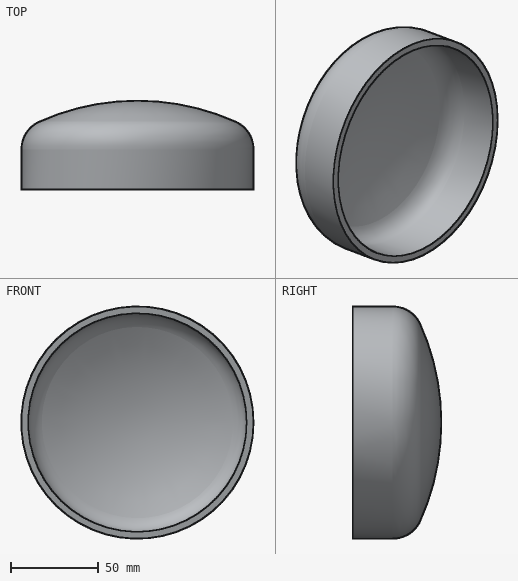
import cadquery as cq
import math

outer_diameter = 133.0
wall = 4.0
skirt_length = 23.0

knuckle_ratio = 0.1
inner_crown_radius = outer_diameter
inner_knuckle_radius = knuckle_ratio * outer_diameter

outer_radius = outer_diameter / 2
inner_radius = outer_radius - wall


def point_on_arc(centre_x, centre_y, radius, angle):
    """Point on an arc, with the angle measured from the +Y axis."""
    x = centre_x + radius * math.sin(angle)
    y = centre_y + radius * math.cos(angle)
    return (x, y)


def dished_solid(skirt_radius, crown_radius, knuckle_radius):
    """Solid bounded by the skirt, the knuckle and the crown tangent to it."""
    knuckle_centre_x = skirt_radius - knuckle_radius
    centre_distance = crown_radius - knuckle_radius
    tangent_angle = math.asin(knuckle_centre_x / centre_distance)
    crown_centre_y = skirt_length - centre_distance * math.cos(tangent_angle)

    skirt_angle = math.pi / 2
    knuckle_middle_angle = (tangent_angle + skirt_angle) / 2
    knuckle_middle = point_on_arc(knuckle_centre_x, skirt_length, knuckle_radius, knuckle_middle_angle)
    tangent_point = point_on_arc(knuckle_centre_x, skirt_length, knuckle_radius, tangent_angle)
    crown_middle = point_on_arc(0, crown_centre_y, crown_radius, tangent_angle / 2)
    apex = point_on_arc(0, crown_centre_y, crown_radius, 0)

    return (
        cq.Workplane("XY")
        .lineTo(skirt_radius, 0)
        .lineTo(skirt_radius, skirt_length)
        .threePointArc(knuckle_middle, tangent_point)
        .threePointArc(crown_middle, apex)
        .close()
        .revolve(360, (0, 0, 0), (0, 1, 0))
    )


outer_body = dished_solid(outer_radius, inner_crown_radius + wall, inner_knuckle_radius + wall)
cavity = dished_solid(inner_radius, inner_crown_radius, inner_knuckle_radius)
result = outer_body.cut(cavity)